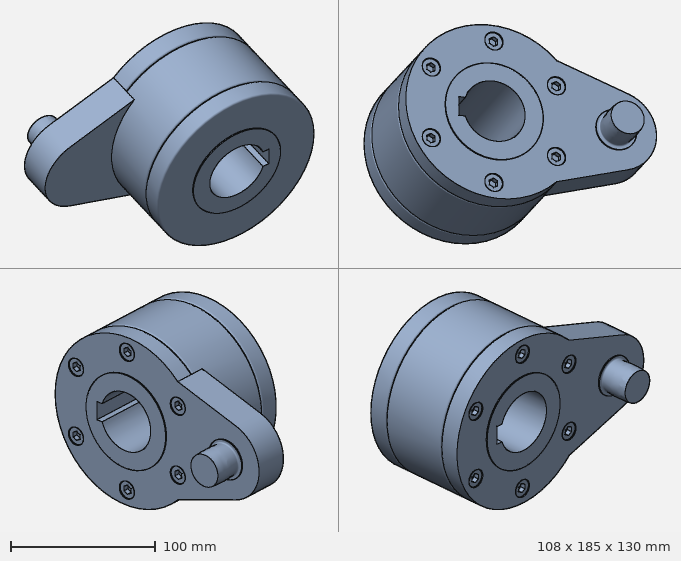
import cadquery as cq
import math

overall_length = 108.0
overall_width = 185

body_radius = 130.0 / 2
body_length = 84.0
edge_round = 1.5
joint_positions = (15.5, 68.5)

hub_radius = 36.0
hub_stand_out = 1.0
bore_radius = 22.5
keyway_width = 14.0
keyway_reach = 26.3

arm_thickness = 26.0
arm_end_radius = 30.0
arm_reach = overall_width - body_radius - arm_end_radius
arm_taper = math.radians(18)

collar_radius = 15.0
pin_length = overall_length - body_length - hub_stand_out
pin_end_radius = 12.2
pin_middle_radius = 12.8
pin_foot_round = 1.1

screw_count = 6
screw_circle_radius = 53.3
screw_hole_radius = 13.5 / 2
screw_head_radius = 6.5
screw_recess = 0.7
screw_head_height = 8.0
socket_width = 6.1
socket_depth = 4.0


def cylinder(start, end, radius, y=0, z=0):
    """Cylinder along X between two X positions."""
    return cq.Workplane("YZ", origin=(start, y, z)).circle(radius).extrude(end - start)


def make_body():
    """Turned body: a rounded far edge and a groove of two rounds at each joint."""
    corner = body_radius - edge_round
    blend = edge_round * math.sin(math.radians(45))
    profile = cq.Workplane("XY").lineTo(0, body_radius)
    for joint in (*joint_positions, body_length):
        left = joint - edge_round
        profile = profile.lineTo(left, body_radius)
        profile = profile.threePointArc((left + blend, corner + blend), (joint, corner))
        if joint != body_length:
            right = joint + edge_round
            profile = profile.threePointArc((right - blend, corner + blend), (right, body_radius))
    profile = profile.lineTo(body_length, 0).close()
    return profile.revolve(360, (0, 0, 0), (1, 0, 0))


def make_arm():
    """Arm whose straight sides run from the body outline tangent to the round end."""
    tip_y = -arm_reach - arm_end_radius
    tangent_y = -arm_reach - arm_end_radius * math.sin(arm_taper)
    tangent_z = arm_end_radius * math.cos(arm_taper)
    side_offset = arm_end_radius + arm_reach * math.sin(arm_taper)
    root_angle = arm_taper + math.acos(side_offset / body_radius)
    root_y = -body_radius * math.sin(root_angle)
    root_z = body_radius * math.cos(root_angle)
    return (
        cq.Workplane("YZ")
        .lineTo(root_y, root_z)
        .lineTo(tangent_y, tangent_z)
        .threePointArc((tip_y, 0), (tangent_y, -tangent_z))
        .lineTo(root_y, -root_z)
        .close()
        .extrude(arm_thickness)
    )


def make_pin():
    """Collar and crowned pin turned about the pin axis, with a hollow round at the foot."""
    foot_x = -hub_stand_out - pin_foot_round
    middle_x = (foot_x - pin_length) / 2
    foot_radius = pin_end_radius + pin_foot_round
    blend = pin_foot_round * math.sin(math.radians(45))
    profile = (
        cq.Workplane("XY", origin=(0, -arm_reach, 0))
        .moveTo(-pin_length, 0)
        .lineTo(-pin_length, pin_end_radius)
        .threePointArc((middle_x, pin_middle_radius), (foot_x, pin_end_radius))
        .threePointArc((foot_x + blend, foot_radius - blend), (-hub_stand_out, foot_radius))
        .lineTo(-hub_stand_out, collar_radius)
        .lineTo(0, collar_radius)
        .lineTo(0, 0)
        .close()
    )
    return profile.revolve(360, (0, 0, 0), (1, 0, 0))


def make_bore():
    """Bore through the hub with a keyway on its +Y side."""
    bore = cylinder(-hub_stand_out, body_length + hub_stand_out, bore_radius)
    keyway = (
        cq.Workplane("YZ", origin=(-hub_stand_out, keyway_reach / 2, 0))
        .rect(keyway_reach, keyway_width)
        .extrude(body_length + 2 * hub_stand_out)
    )
    return bore.union(keyway)


def make_screw_recess(y, z):
    """Space around and above one sunk screw head, together with its hexagon socket."""
    hole_depth = screw_recess + screw_head_height
    hole = cylinder(0, hole_depth, screw_hole_radius, y, z)
    gap = hole.cut(cylinder(screw_recess, hole_depth, screw_head_radius, y, z))
    socket = (
        cq.Workplane("YZ", origin=(0, y, z))
        .transformed(rotate=(0, 0, 90))
        .polygon(6, socket_width / math.cos(math.radians(30)))
        .extrude(screw_recess + socket_depth)
    )
    return gap.union(socket)


result = make_body().union(make_arm())
result = result.union(cylinder(-hub_stand_out, body_length + hub_stand_out, hub_radius))
result = result.union(make_pin())
result = result.cut(make_bore())
for index in range(screw_count):
    angle = 2 * math.pi * index / screw_count
    screw_y = screw_circle_radius * math.sin(angle)
    screw_z = screw_circle_radius * math.cos(angle)
    result = result.cut(make_screw_recess(screw_y, screw_z))